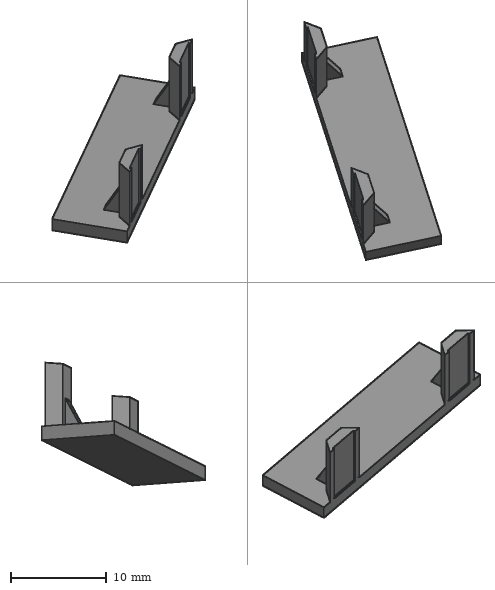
import cadquery as cq

plate_width = 8.2
plate_length = 26.6
plate_thickness = 1.5

total_height = 8.5
post_depth = 1.5
post_back_width = 5.0
post_front_width = 2.5
post_end_margin = 1.05

recess_width = 3.5
recess_depth = 0.2

rib_length = 1.92
rib_height = 3.45
rib_thickness = 1.0

back_x = plate_width / 2
post_front_x = back_x - post_depth
post_height = total_height - plate_thickness
post_y = plate_length / 2 - post_end_margin - post_back_width / 2


def make_plate():
    return cq.Workplane("XY").box(
        plate_width, plate_length, plate_thickness, centered=(True, True, False)
    )


def make_post():
    """Trapezoidal post with its back recess, centred on Y = 0."""
    outline = [
        (back_x, -post_back_width / 2),
        (back_x, -recess_width / 2),
        (back_x - recess_depth, -recess_width / 2),
        (back_x - recess_depth, recess_width / 2),
        (back_x, recess_width / 2),
        (back_x, post_back_width / 2),
        (post_front_x, post_front_width / 2),
        (post_front_x, -post_front_width / 2),
    ]
    return (
        cq.Workplane("XY")
        .workplane(offset=plate_thickness)
        .polyline(outline)
        .close()
        .extrude(post_height)
    )


def make_rib():
    """Right-triangle rib in front of a post, centred on Y = 0."""
    profile = [
        (post_front_x, plate_thickness),
        (post_front_x - rib_length, plate_thickness),
        (post_front_x, plate_thickness + rib_height),
    ]
    return (
        cq.Workplane("XZ")
        .polyline(profile)
        .close()
        .extrude(rib_thickness / 2, both=True)
    )


braced_post = make_post().union(make_rib())
result = make_plate()
for y in (-post_y, post_y):
    result = result.union(braced_post.translate((0, y, 0)))